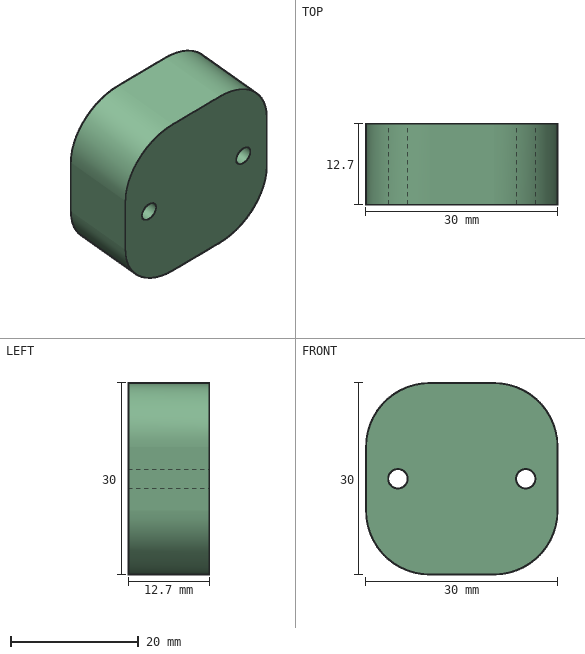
import cadquery as cq

side = 30.0
depth = 12.7
hole_diameter = 3.0

corner_radius = side / 3
hole_spacing = side * 2 / 3

block = cq.Workplane("XY").box(side, depth, side).edges("|Y").fillet(corner_radius)

result = (
    block.faces("<Y")
    .workplane(centerOption="CenterOfBoundBox")
    .rarray(hole_spacing, 0.3, 2, 1)
    .hole(hole_diameter)
)